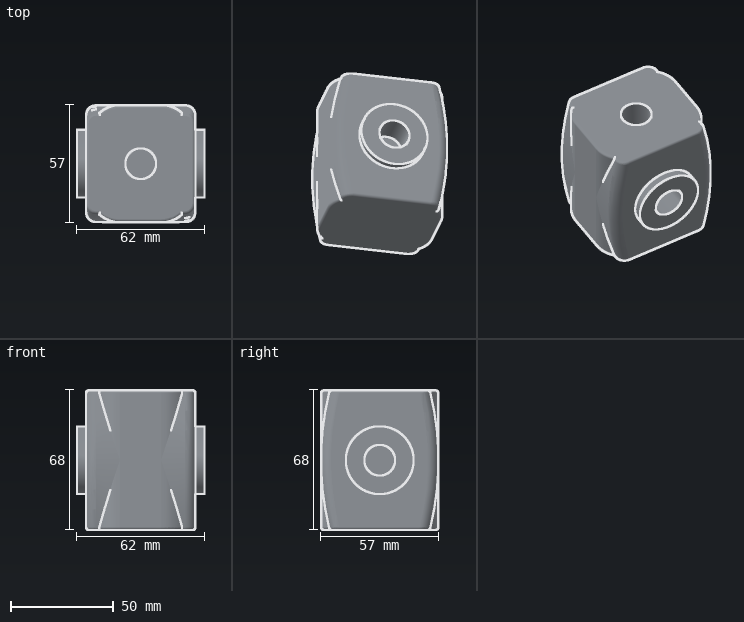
import cadquery as cq

body_height = 68.0
body_width = 53.2
body_depth = 57.0
half_height = body_height / 2
half_depth = body_depth / 2

barrel_end_depth = 48.55
barrel_corner_radius = 4.95

core_flat_width = 20.0
core_corner_radius = 15.2
core_width = core_flat_width + 2 * core_corner_radius

rim_radius = 1.5

boss_diameter = 33.0
boss_span = 62.0
port_diameter = 14.95
port_depth = 17.0


def make_barrel():
    end_y = barrel_end_depth / 2
    profile = (
        cq.Workplane("YZ")
        .moveTo(-end_y, -half_height)
        .lineTo(end_y, -half_height)
        .threePointArc((half_depth, 0), (end_y, half_height))
        .lineTo(-end_y, half_height)
        .threePointArc((-half_depth, 0), (-end_y, -half_height))
        .close()
    )
    barrel = profile.extrude(body_width / 2, both=True)
    return barrel.faces("<X or >X").edges("%CIRCLE").fillet(barrel_corner_radius)


def make_core():
    core = cq.Workplane("XY").box(core_width, body_depth, body_height)
    return core.edges("|Z").fillet(core_corner_radius)


def make_body():
    body = make_barrel().union(make_core())
    return body.faces("<Z or >Z").edges().fillet(rim_radius)


def make_bosses():
    return cq.Workplane("YZ").circle(boss_diameter / 2).extrude(boss_span / 2, both=True)


def drill_port(part, face):
    """Drill a blind port into the centre of the outermost face on one side."""
    return part.faces(face).workplane(centerOption="CenterOfBoundBox").hole(port_diameter, port_depth)


result = make_body().union(make_bosses())
for port_face in ("<X", ">X", ">Z"):
    result = drill_port(result, port_face)